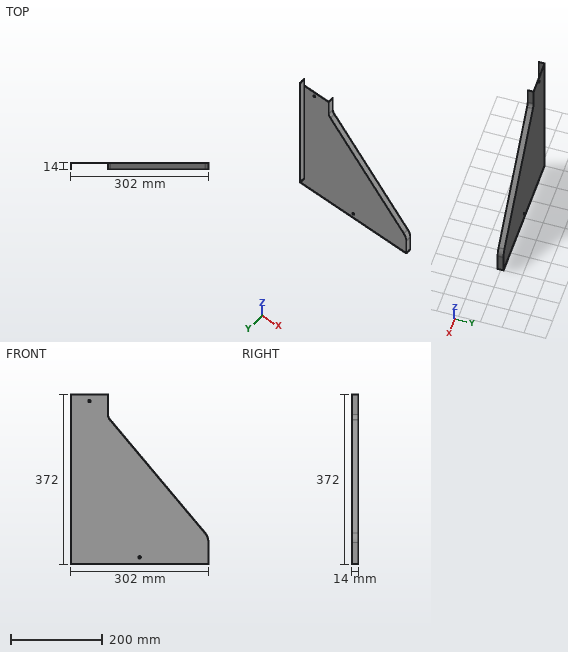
import cadquery as cq
import math

width = 302.0
depth = 14.0
height = 372.0
sheet = 0.8

top_width = 82.0
slope_angle = 50.0
right_corner_z = 59.5
convex_radius = 32.7
concave_radius = 18.5

hole_diameter = 5.0
hole_edge_distance = 15.0

slope_rise = (width - top_width) * math.tan(math.radians(slope_angle))
neck_corner_z = right_corner_z + slope_rise


def bracket_block(left, inset):
    """Full-depth block starting at x = left, its right-hand boundary moved inward by inset."""
    corner_drop = inset * math.tan(math.radians((90 - slope_angle) / 2))
    right = width - inset
    neck = top_width - inset
    lower_corner = (right, right_corner_z - corner_drop)
    upper_corner = (neck, neck_corner_z - corner_drop)
    outline = [(left, 0), (right, 0), lower_corner, upper_corner, (neck, height), (left, height)]
    block = cq.Workplane("XZ").polyline(outline).close().extrude(depth)

    for (x, z), radius in (
        (lower_corner, convex_radius - inset),
        (upper_corner, concave_radius + inset),
    ):
        bend_edge = cq.selectors.NearestToPointSelector((x, -depth / 2, z))
        block = block.edges("|Y").edges(bend_edge).fillet(radius)
    return block


cavity = bracket_block(left=sheet, inset=sheet).translate((0, -sheet, 0))
bracket = bracket_block(left=0, inset=0).cut(cavity)

hole_centres = [
    (top_width / 2, height - hole_edge_distance),
    (width / 2, hole_edge_distance),
]
holes = cq.Workplane("XZ").pushPoints(hole_centres).circle(hole_diameter / 2).extrude(depth)

result = bracket.cut(holes)